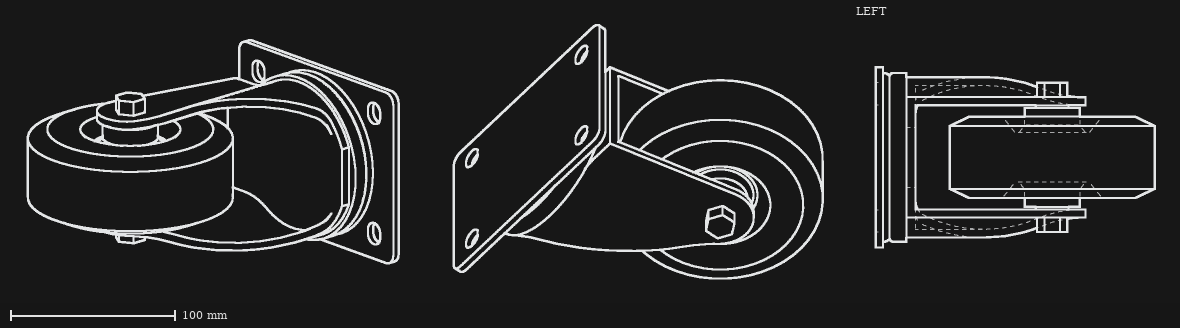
import cadquery as cq
import math


wheel_radius = 125.0 / 2
wheel_width = 49.7
tread_width = 38.2
side_face_radius = 50.6
recess_rim_radius = 30.5
recess_floor_radius = 22.7
recess_depth = 9.8
hub_foot_radius = 20.2
hub_foot_height = 4.5

hub_radius = 33.8 / 2
hub_half_length = 30.2
spacer_radius = 20.0 / 2
hex_across_flats = 16.1
hex_half_length = 45.5

overall_length = 187.5
overall_height = 170.0
plate_width = 110.0
plate_length = 140.0
plate_thickness = 4.5
plate_corner_radius = 6.8
slot_width = 11.0
slot_length = 13.5
slot_spacing_x = 105.0
slot_spacing_z = 77.6

swivel_radius = 103.1 / 2
head_height = 10.1
head_edge_height = 2.2
groove_depth = 1.9

sheet = 5.0
web_thickness = 5.6
arm_outer_z = 36.8
arm_end_radius = 20.5
shell_radius = 49.0
flare_start_x = 11.8
fork_front_x = 100.3
fork_back_x = -2.5
lip_corner_x = 84.8
lip_fillet = 11.2

plate_top = overall_height - wheel_radius
plate_bottom = plate_top - plate_thickness
swivel_x = overall_length - wheel_radius - plate_length / 2
head_bottom = 88.9
head_top = head_bottom + head_height
race_radius = ((plate_bottom - head_top) ** 2 + groove_depth**2) / (2 * groove_depth)
web_bottom = head_bottom - web_thickness


def make_wheel():
    """Bevelled wheel with a conical recess in each side and a hub on a conical foot."""
    half_width = wheel_width / 2
    half_tread = tread_width / 2
    floor_z = half_width - recess_depth
    half_section = [
        (0, 0),
        (wheel_radius, 0),
        (wheel_radius, half_tread),
        (side_face_radius, half_width),
        (recess_rim_radius, half_width),
        (recess_floor_radius, floor_z),
        (hub_foot_radius, floor_z),
        (hub_radius, floor_z + hub_foot_height),
        (hub_radius, hub_half_length),
        (0, hub_half_length),
    ]
    half = cq.Workplane("XZ").polyline(half_section).close().revolve(360, (0, 0), (0, 1))
    return half.union(half.mirror("XY"))


def make_axle():
    """Round spacers between hub and fork, and hexagonal ends outside the fork."""
    spacer = cq.Workplane("XY").circle(spacer_radius).extrude(arm_outer_z, both=True)
    across_corners = hex_across_flats / math.cos(math.radians(30))
    hexagon = cq.Workplane("XY").polygon(6, across_corners).extrude(hex_half_length - arm_outer_z)
    hexagon = hexagon.rotate((0, 0, 0), (0, 0, 1), 30).translate((0, 0, arm_outer_z))
    return spacer.union(hexagon).union(hexagon.mirror("XY"))


def make_plate():
    """Rounded rectangular plate with four slots elongated along Z."""
    plate = cq.Workplane("XZ").rect(plate_length, plate_width).extrude(-plate_thickness)
    plate = plate.edges("|Y").fillet(plate_corner_radius)
    slots = (
        cq.Workplane("XZ")
        .rect(slot_spacing_x, slot_spacing_z, forConstruction=True)
        .vertices()
        .slot2D(slot_length, slot_width, 90)
        .extrude(-plate_thickness)
    )
    return plate.cut(slots).translate((swivel_x, plate_bottom, 0))


def make_swivel_head():
    """Rounded upper race and lower head, meeting in a V-shaped groove."""
    groove_bottom = (swivel_radius - groove_depth, head_top)
    section = (
        cq.Workplane("XY")
        .moveTo(0, head_bottom)
        .lineTo(swivel_radius, head_bottom)
        .lineTo(swivel_radius, head_top - head_edge_height)
        .tangentArcPoint(groove_bottom, relative=False)
        .radiusArc((swivel_radius, plate_bottom), -race_radius)
        .lineTo(0, plate_bottom)
        .close()
    )
    return section.revolve(360, (0, 0), (0, 1)).translate((swivel_x, 0, 0))


def fork_plan(arm_z, arc_radius, flare_radius, height):
    """Prism along Y: straight arms flaring tangentially into an arc about the swivel axis."""
    flare_center_z = arm_z + flare_radius
    lean = math.atan2(flare_center_z, swivel_x - flare_start_x)
    join_x = swivel_x - arc_radius * math.cos(lean)
    join_z = arc_radius * math.sin(lean)
    mid_turn = (lean - math.pi / 2) / 2
    flare_mid = (
        flare_start_x - flare_radius * math.sin(mid_turn),
        flare_center_z - flare_radius * math.cos(mid_turn),
    )
    back_x = -arm_end_radius
    return (
        cq.Workplane("XZ")
        .moveTo(back_x, -arm_z)
        .lineTo(back_x, arm_z)
        .lineTo(flare_start_x, arm_z)
        .threePointArc(flare_mid, (join_x, join_z))
        .threePointArc((swivel_x + arc_radius, 0), (join_x, -join_z))
        .threePointArc((flare_mid[0], -flare_mid[1]), (flare_start_x, -arm_z))
        .close()
        .extrude(-height)
    )


def tangent_angle(x, y, far_side):
    """Polar angle where a line from (x, y) touches the round arm end."""
    return math.atan2(y, x) + far_side * math.acos(arm_end_radius / math.hypot(x, y))


def fork_side():
    """Side outline of the fork, extruded across the full width."""
    back = tangent_angle(fork_back_x, head_bottom, 1)
    front = tangent_angle(lip_corner_x, web_bottom, -1)
    outline = (
        cq.Workplane("XY")
        .moveTo(fork_front_x, head_bottom)
        .lineTo(fork_back_x, head_bottom)
        .lineTo(arm_end_radius * math.cos(back), arm_end_radius * math.sin(back))
        .threePointArc(
            (0, -arm_end_radius),
            (arm_end_radius * math.cos(front), arm_end_radius * math.sin(front)),
        )
        .lineTo(lip_corner_x, web_bottom)
        .lineTo(fork_front_x, web_bottom)
        .close()
        .extrude(shell_radius, both=True)
    )
    lip_corner = cq.selectors.NearestToPointSelector((lip_corner_x, web_bottom, 0))
    return outline.edges(lip_corner).fillet(lip_fillet)


def make_fork():
    """Sheet-metal fork: a web under the head and two arms flared around the swivel axis."""
    run = swivel_x - flare_start_x
    flare_radius = (run**2 + arm_outer_z**2 - shell_radius**2) / (2 * (shell_radius - arm_outer_z))
    height = head_bottom + arm_end_radius
    outer = fork_plan(arm_outer_z, shell_radius, flare_radius, height)
    inner_height = height - web_thickness
    inner = fork_plan(arm_outer_z - sheet, shell_radius - sheet, flare_radius + sheet, inner_height)
    channel = outer.cut(inner).translate((0, -arm_end_radius, 0))
    return channel.intersect(fork_side())


result = make_plate().union(make_swivel_head()).union(make_fork()).union(make_axle()).union(make_wheel())